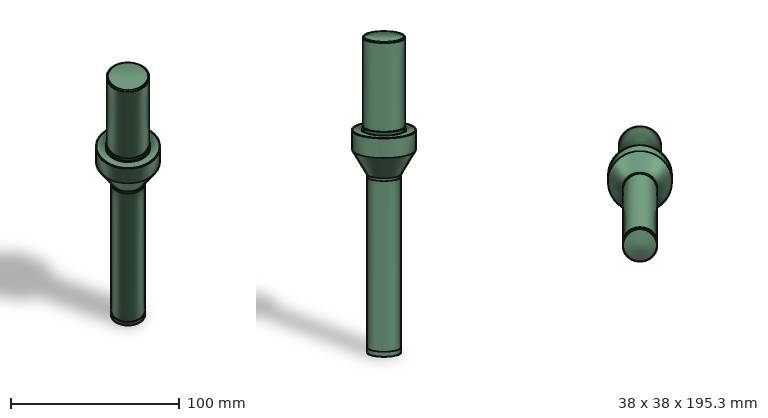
import cadquery as cq

total_length = 195.3
tip_height = 4.3
rod_top = 109.2
cone_bottom = 111.0
collar_bottom = 125.8
collar_top = 138.0
shank_bottom = 139.7

collar_diameter = 38.0
tip_radius = 10.4
rod_radius = 10.2
cone_end_radius = 10.4
collar_radius = collar_diameter / 2
neck_radius = 12.1
shank_radius = 12.7
relief_radius = 13.3

tip_cone_height = 1.0
tip_chamfer = 0.4
shank_chamfer = 0.8
shoulder_height = shank_radius - neck_radius
collar_chamfer = 0.4

relief_depth = 0.5


def revolve_profile(points):
    """Turn a closed (radius, height) outline about the Z axis."""
    return cq.Workplane("XZ").polyline(points).close().revolve(360, (0, 0, 0), (0, 1, 0))


def make_holder():
    """Rod, flared collar, undercut neck and chamfered clamping shank in one turned piece."""
    return revolve_profile([
        (0, tip_height),
        (rod_radius, tip_height),
        (rod_radius, rod_top),
        (cone_end_radius, rod_top),
        (cone_end_radius, cone_bottom),
        (collar_radius, collar_bottom),
        (collar_radius, collar_top - collar_chamfer),
        (collar_radius - collar_chamfer, collar_top),
        (relief_radius, collar_top),
        (relief_radius, collar_top - relief_depth),
        (neck_radius, collar_top - relief_depth),
        (neck_radius, shank_bottom),
        (shank_radius, shank_bottom + shoulder_height),
        (shank_radius, total_length - shank_chamfer),
        (shank_radius - shank_chamfer, total_length),
        (0, total_length),
    ])


def make_tip():
    """Short disc seated on the lower end of the rod, with a chamfered rim and a shallow conical point."""
    return revolve_profile([
        (0, 0),
        (tip_radius - tip_chamfer, tip_cone_height),
        (tip_radius, tip_cone_height + tip_chamfer),
        (tip_radius, tip_height),
        (0, tip_height),
    ])


holder = make_holder()
tip = make_tip()
result = cq.Compound.makeCompound([holder.val(), tip.val()])